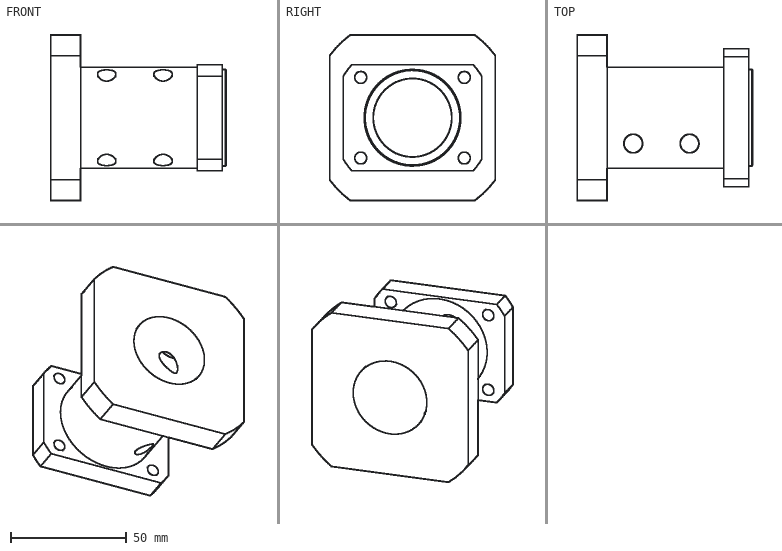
import cadquery as cq

total_length = 76.2
bore_diameter = 34.0
body_diameter = 44.0

square_side = 72.0
square_thickness = 12.95
square_corner_diameter = 90.0

rect_width = 60.0
rect_height = 46.0
rect_thickness = 11.0
rect_corner_diameter = 70.0
spigot_diameter = 42.0
spigot_length = 1.7
spigot_chamfer = 0.45

bolt_diameter = 5.2
bolt_pitch_y = 44.95
bolt_pitch_z = 35.0

cross_diameter = 8.0
cross_y = -11.2
cross_first_x = 24.3
cross_pitch = 24.45

rect_end_x = total_length - spigot_length
rect_start_x = rect_end_x - rect_thickness


def section_plane(x):
    """Sketch plane across the axis: local x is Y, local y is Z."""
    return cq.Workplane("YZ", origin=(x, 0, 0))


def cylinder(x, diameter, length):
    return section_plane(x).circle(diameter / 2).extrude(length)


def flange(x, width, height, thickness, corner_diameter):
    """Rectangular plate with its corners turned down about the sleeve axis."""
    plate = section_plane(x).rect(width, height).extrude(thickness)
    return plate.intersect(cylinder(x, corner_diameter, thickness))


square_flange = flange(0, square_side, square_side, square_thickness, square_corner_diameter)
rect_flange = flange(rect_start_x, rect_width, rect_height, rect_thickness, rect_corner_diameter)

bolt_holes = (
    section_plane(rect_start_x)
    .rect(bolt_pitch_y, bolt_pitch_z, forConstruction=True)
    .vertices()
    .circle(bolt_diameter / 2)
    .extrude(rect_thickness)
)

body = cylinder(0, body_diameter, rect_end_x)
spigot = cylinder(rect_end_x, spigot_diameter, spigot_length).faces(">X").chamfer(spigot_chamfer)
bore = cylinder(0, bore_diameter, total_length)

cross_holes = (
    cq.Workplane("XY")
    .pushPoints([(cross_first_x + i * cross_pitch, cross_y) for i in range(2)])
    .circle(cross_diameter / 2)
    .extrude(body_diameter / 2, both=True)
)

result = (
    body.union(square_flange)
    .union(rect_flange.cut(bolt_holes))
    .union(spigot)
    .cut(bore)
    .cut(cross_holes)
)